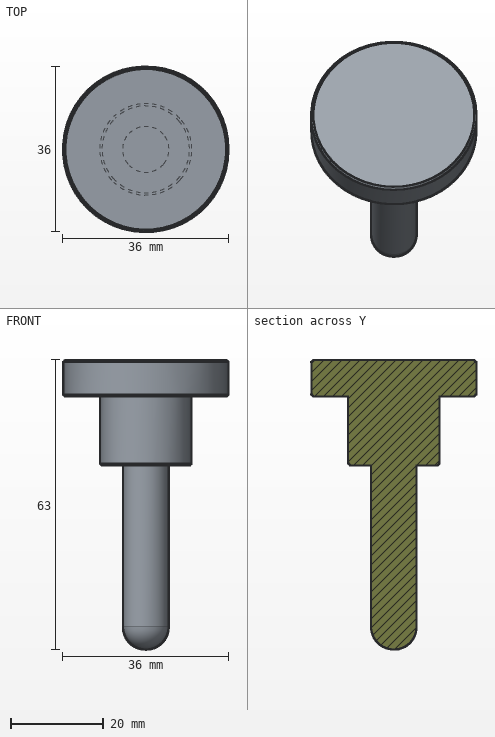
import cadquery as cq

total_length = 63.0
head_height = 8.0
collar_height = 15.0
pin_length = total_length - head_height - collar_height

head_diameter = 36.0
collar_diameter = 20.0
pin_diameter = 10.0

edge_chamfer = 0.5

pin_radius = pin_diameter / 2
collar_bottom = pin_length
head_bottom = collar_bottom + collar_height


def cylinder(diameter, height, bottom):
    return cq.Workplane("XY").workplane(offset=bottom).circle(diameter / 2).extrude(height)


head = cylinder(head_diameter, head_height, head_bottom).faces("<Z or >Z").chamfer(edge_chamfer)

collar = cylinder(collar_diameter, collar_height, collar_bottom).faces("<Z").chamfer(edge_chamfer)

pin_shank = cylinder(pin_diameter, pin_length - pin_radius, pin_radius)
pin_tip = cq.Workplane("XY").sphere(pin_radius).translate((0, 0, pin_radius))
pin = pin_shank.union(pin_tip)

result = head.union(collar).union(pin)